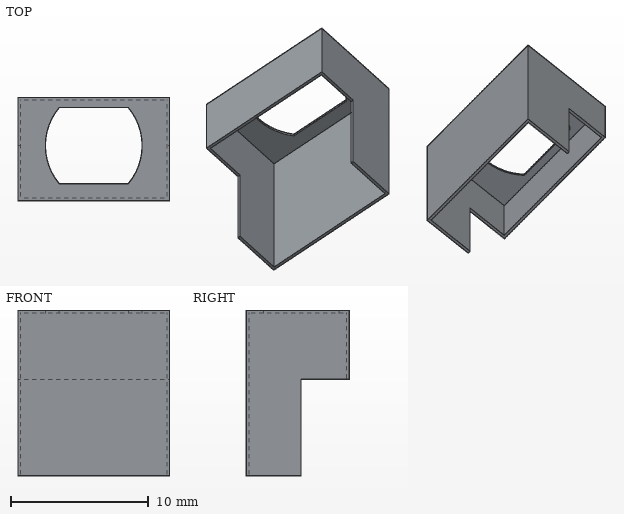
import cadquery as cq

width = 11.0
depth = 7.5
height = 12.0

head_height = 5.0
skirt_depth = 4.0

wall = 0.2

opening_width = 7.0
opening_length_y = 5.5
opening_straight = 5.0
opening_offset_y = 0.25


def make_body():
    """L-shaped side outline extruded across the width, front face at -depth / 2."""
    front = -depth / 2
    step_y = front + skirt_depth
    step_z = height - head_height
    outline = [
        (front, 0),
        (step_y, 0),
        (step_y, step_z),
        (depth / 2, step_z),
        (depth / 2, height),
        (front, height),
    ]
    return cq.Workplane("YZ").polyline(outline).close().extrude(width / 2, both=True)


def make_cavity():
    """Rectangular void that leaves the side, front and rear walls and the roof."""
    return cq.Workplane("XY").rect(width - 2 * wall, depth - 2 * wall).extrude(height - wall)


def make_opening():
    """Barrel-shaped cutter passing through the roof."""
    half_width = opening_width / 2
    half_length = opening_length_y / 2
    half_straight = opening_straight / 2
    return (
        cq.Workplane("XY")
        .workplane(offset=height - wall)
        .center(0, opening_offset_y)
        .moveTo(-half_straight, half_length)
        .lineTo(half_straight, half_length)
        .threePointArc((half_width, 0), (half_straight, -half_length))
        .lineTo(-half_straight, -half_length)
        .threePointArc((-half_width, 0), (-half_straight, half_length))
        .close()
        .extrude(wall)
    )


result = make_body().cut(make_cavity()).cut(make_opening())